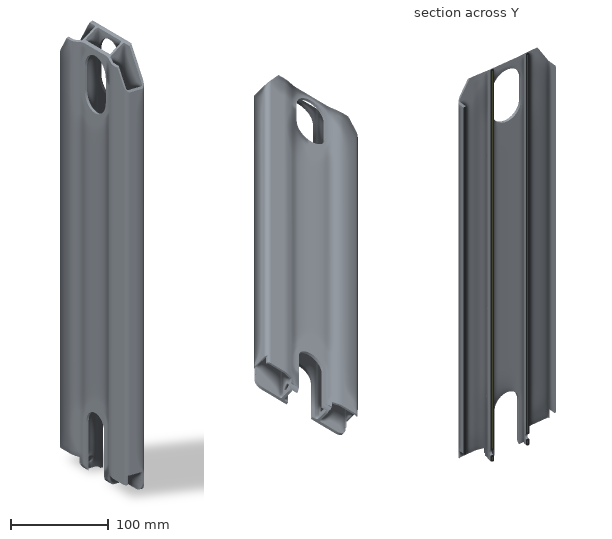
import cadquery as cq
import math

WIDTH = 120.0
DEPTH = 25.0
LENGTH = 495.0
HALF_WIDTH = WIDTH / 2
BACK_Y = DEPTH / 2
FRONT_Y = -DEPTH / 2

CORNER_RADIUS = 5.0
OUTER_WALL = 1.5
SIDE_FRONT_WALL = 2.0
BACK_WALL = 3.0
MIDDLE_WALL = 3.0
WEB_OUTER_X = 25.0
WEB_WALL = 3.0
MIDDLE_CELL_FILLET = 2.5
SIDE_CELL_FILLET = 1.5
RECESS_DEPTH = 4.0
RECESS_FLAT_X = 19.0
RAMP_RADIUS = 20.0
RAMP_ANGLE = math.radians(17)

TOP_SLOPE = math.radians(35)
TOP_HALF_WIDTH = 34.0
SHOULDER_HEIGHT = 40.5

WINDOW_WIDTH = 37.0
WINDOW_HEIGHT = 64.5
BACK_WINDOW_Z = 455.0
FRONT_WINDOW_Z = 441.0

SLOT_WIDTH = 31.5
SLOT_TOP_Z = 72.5
OUTER_WALL_CUT_Z = 24.5
FRONT_WALL_CUT_Z = 13.5
TONGUE_RADIUS = 11.0
WEB_CORNER_RADIUS = 6.5
PIN_HOLE_RADIUS = 3.7
PIN_HOLE_Y = 1.0
PIN_HOLE_Z = 10.5

RECESS_Y = FRONT_Y + RECESS_DEPTH
CELL_BACK_Y = BACK_Y - BACK_WALL
CELL_OUTER_X = HALF_WIDTH - OUTER_WALL
WEB_FOOT_X = WEB_OUTER_X + SIDE_CELL_FILLET
BLEND_RUN = RAMP_RADIUS * math.sin(RAMP_ANGLE)
BLEND_DROP = RAMP_RADIUS * (1 - math.cos(RAMP_ANGLE))
RAMP_RUN = (RECESS_DEPTH - 2 * BLEND_DROP) / math.tan(RAMP_ANGLE)
RAMP_INNER_X = RECESS_FLAT_X + BLEND_RUN
FRONT_FLAT_X = RAMP_INNER_X + RAMP_RUN + BLEND_RUN


def on_arc(center, radius, angle):
    return (center[0] + radius * math.sin(angle), center[1] + radius * math.cos(angle))


def box(x_range, y_range, z_range):
    sizes = [high - low for low, high in (x_range, y_range, z_range)]
    corner = (x_range[0], y_range[0], z_range[0])
    return cq.Workplane("XY").box(*sizes, centered=False).translate(corner)


def mirrored(solid):
    """The solid together with its copy on the other side of X = 0."""
    return solid.union(solid.mirror("YZ"))


def outer_half():
    """Solid outline of the +X half, with the ramped step on its front."""
    hollow_center = (RECESS_FLAT_X, RECESS_Y - RAMP_RADIUS)
    crest_center = (FRONT_FLAT_X, FRONT_Y + RAMP_RADIUS)
    half = (
        cq.Workplane("XY")
        .moveTo(0, BACK_Y)
        .lineTo(0, RECESS_Y)
        .lineTo(RECESS_FLAT_X, RECESS_Y)
        .threePointArc(
            on_arc(hollow_center, RAMP_RADIUS, RAMP_ANGLE / 2),
            on_arc(hollow_center, RAMP_RADIUS, RAMP_ANGLE),
        )
        .lineTo(*on_arc(crest_center, -RAMP_RADIUS, RAMP_ANGLE))
        .threePointArc(
            on_arc(crest_center, -RAMP_RADIUS, RAMP_ANGLE / 2),
            (FRONT_FLAT_X, FRONT_Y),
        )
        .lineTo(HALF_WIDTH, FRONT_Y)
        .lineTo(HALF_WIDTH, BACK_Y)
        .close()
        .extrude(LENGTH)
    )
    return half.edges("|Z and >X").fillet(CORNER_RADIUS)


def side_cell():
    """Hollow of the +X side, keeping an even wall behind the ramp."""
    crest_center = (FRONT_FLAT_X, FRONT_Y + RAMP_RADIUS)
    inner_radius = RAMP_RADIUS - SIDE_FRONT_WALL
    ramp_end = on_arc(crest_center, -inner_radius, RAMP_ANGLE)
    web_y = ramp_end[1] + (ramp_end[0] - WEB_OUTER_X) * math.tan(RAMP_ANGLE)
    cell = (
        cq.Workplane("XY")
        .moveTo(WEB_OUTER_X, CELL_BACK_Y)
        .lineTo(WEB_OUTER_X, web_y)
        .lineTo(*ramp_end)
        .threePointArc(
            on_arc(crest_center, -inner_radius, RAMP_ANGLE / 2),
            (FRONT_FLAT_X, FRONT_Y + SIDE_FRONT_WALL),
        )
        .lineTo(CELL_OUTER_X, FRONT_Y + SIDE_FRONT_WALL)
        .lineTo(CELL_OUTER_X, CELL_BACK_Y)
        .close()
        .extrude(LENGTH)
    )
    return cell.edges("|Z and (<X or >X)").fillet(SIDE_CELL_FILLET)


def middle_cell():
    half_width = WEB_OUTER_X - WEB_WALL
    cell = box((-half_width, half_width), (RECESS_Y + MIDDLE_WALL, CELL_BACK_Y), (0, LENGTH))
    return cell.edges("|Z and >Y").fillet(MIDDLE_CELL_FILLET)


def top_envelope():
    """Space kept by the sloped top and the two slanted shoulders."""
    front_top_z = LENGTH - DEPTH * math.tan(TOP_SLOPE)
    slope = (
        cq.Workplane("YZ")
        .polyline([(FRONT_Y, 0), (BACK_Y, 0), (BACK_Y, LENGTH), (FRONT_Y, front_top_z)])
        .close()
        .extrude(HALF_WIDTH, both=True)
    )
    shoulder_z = LENGTH - SHOULDER_HEIGHT
    shoulders = (
        cq.Workplane("XZ")
        .polyline([
            (-HALF_WIDTH, 0),
            (HALF_WIDTH, 0),
            (HALF_WIDTH, shoulder_z),
            (TOP_HALF_WIDTH, LENGTH),
            (-TOP_HALF_WIDTH, LENGTH),
            (-HALF_WIDTH, shoulder_z),
        ])
        .close()
        .extrude(DEPTH, both=True)
    )
    return slope.intersect(shoulders)


def window(middle_z, y_range):
    """Upright round-ended opening through one wall of the middle cell."""
    near_y, far_y = y_range
    return (
        cq.Workplane("XZ", origin=(0, far_y, middle_z))
        .slot2D(WINDOW_HEIGHT, WINDOW_WIDTH, angle=90)
        .extrude(far_y - near_y)
    )


def bottom_slot():
    radius = SLOT_WIDTH / 2
    straight_z = SLOT_TOP_Z - radius
    return (
        cq.Workplane("XZ")
        .moveTo(-radius, 0)
        .lineTo(-radius, straight_z)
        .threePointArc((0, SLOT_TOP_Z), (radius, straight_z))
        .lineTo(radius, 0)
        .close()
        .extrude(DEPTH, both=True)
    )


def bottom_side_cut():
    """Removes the outer wall, then the front wall, leaving a tongue at the back."""
    outer_wall = box((CELL_OUTER_X, HALF_WIDTH), (FRONT_Y, BACK_Y), (0, OUTER_WALL_CUT_Z))
    front_wall = box((WEB_FOOT_X, HALF_WIDTH), (FRONT_Y, CELL_BACK_Y), (0, FRONT_WALL_CUT_Z))
    return mirrored(outer_wall.union(front_wall))


def tongue_corner_cut():
    """Rounds the bottom outer corners of the back tongue."""
    radius = TONGUE_RADIUS
    block = box((CELL_OUTER_X - radius, CELL_OUTER_X), (FRONT_Y, BACK_Y), (0, radius))
    rounding = (
        cq.Workplane("XZ", origin=(CELL_OUTER_X - radius, 0, radius))
        .circle(radius)
        .extrude(DEPTH, both=True)
    )
    return mirrored(block.cut(rounding))


def web_corner_cut():
    """Rounds the bottom front corner of both webs."""
    radius = WEB_CORNER_RADIUS
    center_y = RECESS_Y + radius
    block = box((-WEB_FOOT_X, WEB_FOOT_X), (FRONT_Y, center_y), (0, radius))
    rounding = (
        cq.Workplane("YZ", origin=(0, center_y, radius))
        .circle(radius)
        .extrude(HALF_WIDTH, both=True)
    )
    return block.cut(rounding)


def pin_hole():
    return (
        cq.Workplane("YZ", origin=(0, PIN_HOLE_Y, PIN_HOLE_Z))
        .circle(PIN_HOLE_RADIUS)
        .extrude(HALF_WIDTH, both=True)
    )


profile = mirrored(outer_half()).cut(mirrored(side_cell())).cut(middle_cell())
result = (
    profile
    .intersect(top_envelope())
    .cut(window(BACK_WINDOW_Z, (0, BACK_Y)))
    .cut(window(FRONT_WINDOW_Z, (FRONT_Y, 0)))
    .cut(bottom_slot())
    .cut(bottom_side_cut())
    .cut(tongue_corner_cut())
    .cut(web_corner_cut())
    .cut(pin_hole())
)